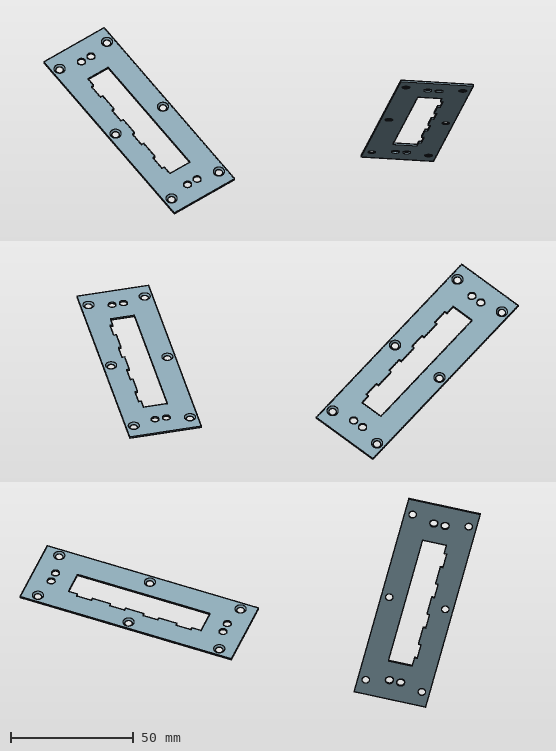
import cadquery as cq

plate_length = 92.5
plate_width = 30.0
plate_thickness = 0.8

screw_spacing_x = 39.7
screw_spacing_y = 23.5
screw_top_diameter = 4.5
screw_bottom_diameter = 3.0

pin_diameter = 3.2
pin_spacing_x = 75.2
pin_spacing_y = 4.7

notch_count = 4
notch_pitch = 14.5
notch_width = 6.5
notch_depth = 1.1
window_length = 58.0
window_width = 10.0
window_center_y = -0.1


def make_plate():
    return cq.Workplane("XY").box(
        plate_length, plate_width, plate_thickness, centered=(True, True, False)
    )


def cut_screw_holes(body):
    taper = (
        cq.Workplane("XY")
        .circle(screw_bottom_diameter / 2)
        .workplane(offset=plate_thickness)
        .circle(screw_top_diameter / 2)
        .loft(ruled=True)
    )
    for column in (-1, 0, 1):
        for side in (-1, 1):
            body = body.cut(taper.translate((column * screw_spacing_x, side * screw_spacing_y / 2, 0)))
    return body


def cut_pin_holes(body):
    return (
        body.faces(">Z")
        .workplane(origin=(0, 0, plate_thickness))
        .rarray(pin_spacing_x, pin_spacing_y, 2, 2)
        .hole(pin_diameter)
    )


def cut_window(body):
    window = (
        cq.Workplane("XY")
        .center(0, window_center_y)
        .rect(window_length, window_width)
        .extrude(plate_thickness)
    )
    notch_reach = window_width / 2 + notch_depth
    notches = (
        cq.Workplane("XY")
        .center(0, window_center_y - notch_reach / 2)
        .rarray(notch_pitch, 0.9, notch_count, 1)
        .rect(notch_width, notch_reach)
        .extrude(plate_thickness)
    )
    return body.cut(window).cut(notches)


result = cut_window(cut_pin_holes(cut_screw_holes(make_plate())))